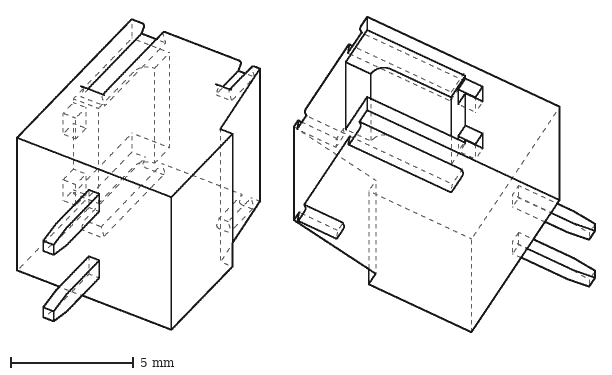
import cadquery as cq
import math


BODY_WIDTH = 7.4
TOTAL_HEIGHT = 7.55
RAIL_HEIGHT = 0.55
BODY_HEIGHT = TOTAL_HEIGHT - RAIL_HEIGHT
TOTAL_LENGTH = 12.6
PIN_LENGTH = 3.59
BODY_DEPTH = TOTAL_LENGTH - PIN_LENGTH
BACK_WIDTH = 6.15
SHOULDER_X = 6.8
SHOULDER_FROM_BACK = 4.2

PIN_PITCH = 3.5
PIN_WIDTH = 0.5
PIN_HEIGHT = 0.92
PIN_TIP_HEIGHT = 0.53
PIN_TAPER_LENGTH = 1.01
PIN_CENTERS_Z = [BODY_HEIGHT / 2 + side * PIN_PITCH / 2 for side in (-1, 1)]

POCKET_HEIGHT = 5.0
POCKET_LENGTH = 4.6
POCKET_DEPTH = 1.2
DEEP_POCKET_LENGTH = 1.18
STEP_RADIUS = 0.6

NOTCH_HEIGHT = 1.1
NOTCH_LENGTH = 0.81
NOTCH_DEPTH = 0.6

DOVETAILS = [(1.05, 0.81, 4.79), (5.49, 0.43, 1.8)]
GROOVE_DEPTH = RAIL_HEIGHT
FLANK_SLOPE = 0.3
RAIL_RADIUS = 0.13
GROOVE_LIP_RADIUS = 0.11


def make_body():
    shoulder_y = BODY_DEPTH - SHOULDER_FROM_BACK
    outline = [
        (0, 0),
        (BODY_WIDTH, 0),
        (BODY_WIDTH, shoulder_y),
        (SHOULDER_X, shoulder_y),
        (BACK_WIDTH, BODY_DEPTH),
        (0, BODY_DEPTH),
    ]
    return cq.Workplane("XY").polyline(outline).close().extrude(BODY_HEIGHT)


def make_pocket():
    front_y = BODY_DEPTH - POCKET_LENGTH
    step_y = BODY_DEPTH - DEEP_POCKET_LENGTH
    arc_offset = STEP_RADIUS * (1 - math.sqrt(0.5))
    return (
        cq.Workplane("XY", origin=(0, 0, (BODY_HEIGHT - POCKET_HEIGHT) / 2))
        .moveTo(0, front_y)
        .lineTo(POCKET_DEPTH, front_y)
        .lineTo(POCKET_DEPTH, step_y - STEP_RADIUS)
        .threePointArc(
            (POCKET_DEPTH + arc_offset, step_y - arc_offset),
            (POCKET_DEPTH + STEP_RADIUS, step_y),
        )
        .lineTo(POCKET_DEPTH + STEP_RADIUS, BODY_DEPTH)
        .lineTo(0, BODY_DEPTH)
        .close()
        .extrude(POCKET_HEIGHT)
    )


def make_notch(center_z):
    back_y = BODY_DEPTH - POCKET_LENGTH
    return (
        cq.Workplane("XY", origin=(0, back_y - NOTCH_LENGTH, center_z - NOTCH_HEIGHT / 2))
        .box(NOTCH_DEPTH, NOTCH_LENGTH, NOTCH_HEIGHT, centered=False)
    )


def make_pin(center_z):
    taper_y = PIN_TAPER_LENGTH - PIN_LENGTH
    half_height = PIN_HEIGHT / 2
    half_tip = PIN_TIP_HEIGHT / 2
    outline = [
        (0, -half_height),
        (taper_y, -half_height),
        (-PIN_LENGTH, -half_tip),
        (-PIN_LENGTH, half_tip),
        (taper_y, half_height),
        (0, half_height),
    ]
    return (
        cq.Workplane("YZ", origin=(BODY_WIDTH / 2, 0, center_z))
        .polyline(outline)
        .close()
        .extrude(PIN_WIDTH / 2, both=True)
    )


def make_dovetail(center_x, neck_width, length, neck_z, height):
    """Bar ending at the back face that widens downward from its neck."""
    half_neck = neck_width / 2
    half_base = half_neck + FLANK_SLOPE * height
    outline = [(-half_neck, 0), (half_neck, 0), (half_base, -height), (-half_base, -height)]
    return (
        cq.Workplane("XZ", origin=(center_x, BODY_DEPTH, neck_z))
        .polyline(outline)
        .close()
        .extrude(length)
    )


def make_rail(center_x, neck_width, length):
    rail = make_dovetail(center_x, neck_width, length, 0, RAIL_HEIGHT)
    return rail.faces("<Z").edges("|Y").fillet(RAIL_RADIUS)


def make_lip_rounding(center_x, neck_width, length):
    """Extra cut that rounds both top edges of a groove."""
    flank_angle = math.atan(FLANK_SLOPE)
    tangent_length = GROOVE_LIP_RADIUS / math.tan((math.pi / 2 - flank_angle) / 2)
    half_neck = neck_width / 2
    half_mouth = half_neck + tangent_length
    flank_x = half_neck + tangent_length * math.sin(flank_angle)
    flank_z = -tangent_length * math.cos(flank_angle)
    to_corner = math.hypot(half_mouth - half_neck, GROOVE_LIP_RADIUS)
    middle_x = half_mouth - GROOVE_LIP_RADIUS * tangent_length / to_corner
    middle_z = GROOVE_LIP_RADIUS * (GROOVE_LIP_RADIUS / to_corner - 1)
    return (
        cq.Workplane("XZ", origin=(center_x, BODY_DEPTH, BODY_HEIGHT))
        .moveTo(-half_mouth, 0)
        .lineTo(half_mouth, 0)
        .threePointArc((middle_x, middle_z), (flank_x, flank_z))
        .lineTo(-flank_x, flank_z)
        .threePointArc((-middle_x, middle_z), (-half_mouth, 0))
        .close()
        .extrude(length)
    )


result = make_body().cut(make_pocket())
for pin_z in PIN_CENTERS_Z:
    result = result.cut(make_notch(pin_z)).union(make_pin(pin_z))
for dovetail in DOVETAILS:
    groove = make_dovetail(*dovetail, BODY_HEIGHT, GROOVE_DEPTH)
    result = result.cut(groove).cut(make_lip_rounding(*dovetail))
    result = result.union(make_rail(*dovetail))